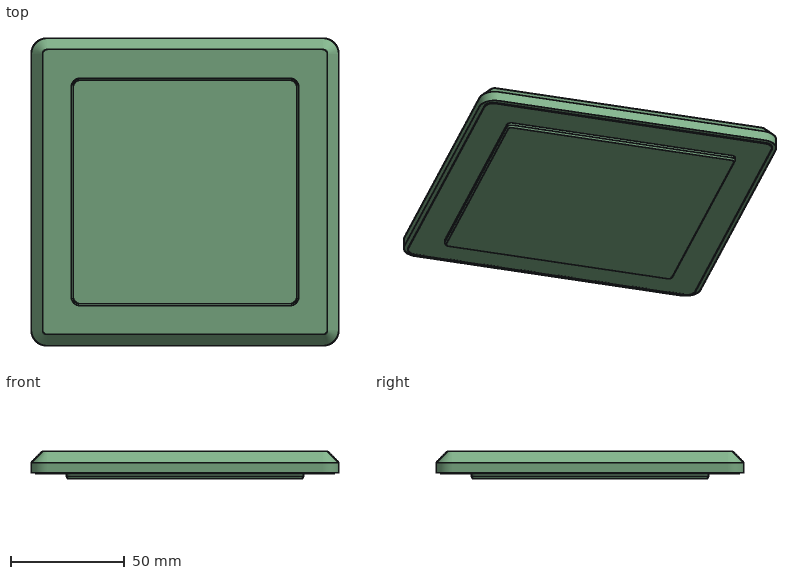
import cadquery as cq
import math

frame_width = 135.0
total_height = 12.1

slope_angle = 30.0

pad_width = 104.0
pad_height = 2.1
pad_corner_radius = 2.0
pad_bevel_height = 1.0

sheet_inset = 2.0
sheet_thickness = 0.5
sheet_corner_radius = 4.0
sheet_width = frame_width - 2 * sheet_inset

frame_corner_radius = 7.0
frame_chamfer = 5.0
frame_bottom = pad_height + sheet_thickness
frame_height = total_height - frame_bottom

window_width = 98.0
window_corner_radius = 3.0
window_depth = 3.0
rim_depth = window_depth / 2
rim_inset = rim_depth * math.tan(math.radians(slope_angle))


def rounded_square_plate(width, height, corner_radius, bottom):
    """Square plate centred on the Z axis, with rounded vertical corners."""
    return (
        cq.Workplane("XY")
        .workplane(offset=bottom)
        .rect(width, width)
        .extrude(height)
        .edges("|Z")
        .fillet(corner_radius)
    )


def downward_taper(width, height, corner_radius, top):
    """Rounded square block that narrows at the slope angle from its top face down."""
    outline = cq.Sketch().rect(width, width).vertices().fillet(corner_radius)
    return cq.Workplane("XY").workplane(offset=top).placeSketch(outline).extrude(-height, taper=slope_angle)


def make_frame():
    """Chamfered frame with a shallow window recess in its top face."""
    body = rounded_square_plate(frame_width, frame_height, frame_corner_radius, frame_bottom)
    body = body.faces(">Z").chamfer(frame_chamfer)

    floor = total_height - window_depth
    recess = rounded_square_plate(window_width, window_depth, window_corner_radius, floor)

    rim_width = window_width + 2 * rim_inset
    rim_corner_radius = window_corner_radius + rim_inset
    rim = downward_taper(rim_width, rim_depth, rim_corner_radius, total_height)
    return body.cut(recess).cut(rim)


def make_backing_sheet():
    """Thin sheet set in from the frame's edge."""
    return rounded_square_plate(sheet_width, sheet_thickness, sheet_corner_radius, pad_height)


def make_pad():
    """Smaller pad on the underside, with a straight upper edge and a bevelled lower edge."""
    straight_height = pad_height - pad_bevel_height
    straight = rounded_square_plate(pad_width, straight_height, pad_corner_radius, pad_bevel_height)
    bevel = downward_taper(pad_width, pad_bevel_height, pad_corner_radius, pad_bevel_height)
    return straight.union(bevel)


frame = make_frame().solids()
backing_sheet = make_backing_sheet().solids()
pad = make_pad().solids()

result = cq.Compound.makeCompound([frame.val(), backing_sheet.val(), pad.val()])